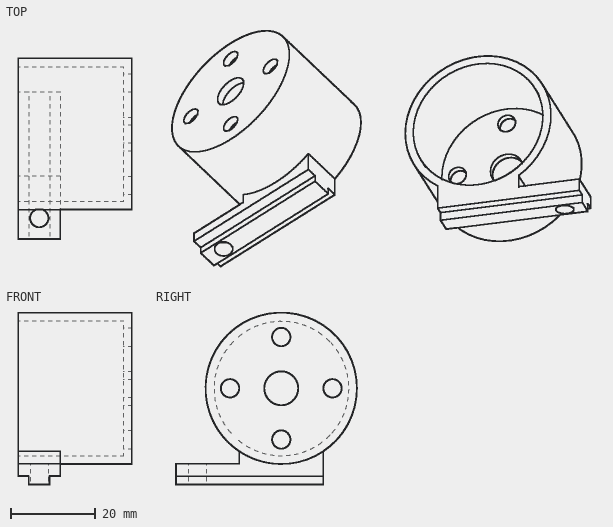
import cadquery as cq

cup_length = 27.0
cup_diameter = 36.0
bore_diameter = 32.0
floor_thickness = (cup_diameter - bore_diameter) / 2

shaft_hole_diameter = 8.0
screw_hole_diameter = 4.3
screw_circle_diameter = 24.35
screw_count = 4

overall_width = 43.0
overall_height = 40.9
foot_depth = 10.0
pedestal_width = 20.0
flange_thickness = 3.0
tongue_depth = 5.0
tongue_height = 2.0

cup_radius = cup_diameter / 2
foot_back = pedestal_width / 2
foot_front = cup_radius - overall_width
foot_length = foot_back - foot_front
tongue_bottom = cup_radius - overall_height
flange_bottom = tongue_bottom + tongue_height
flange_hole_y = foot_front + foot_depth / 2


def box_from(x, y, z, length, width, height):
    """Box whose lowest corner is at (x, y, z)."""
    return cq.Workplane("XY").box(length, width, height, centered=False).translate((x, y, z))


def make_foot():
    pedestal = box_from(0, -pedestal_width / 2, flange_bottom, foot_depth, pedestal_width, -flange_bottom)
    flange = box_from(0, foot_front, flange_bottom, foot_depth, foot_length, flange_thickness)
    tongue_x = (foot_depth - tongue_depth) / 2
    tongue = box_from(tongue_x, foot_front, tongue_bottom, tongue_depth, foot_length, tongue_height)
    return pedestal.union(flange).union(tongue)


def make_flange_hole():
    return (
        cq.Workplane("XY", origin=(foot_depth / 2, flange_hole_y, tongue_bottom))
        .circle(screw_hole_diameter / 2)
        .extrude(tongue_height + flange_thickness)
    )


def make_floor_holes():
    shaft_hole = cq.Workplane("YZ").circle(shaft_hole_diameter / 2).extrude(cup_length)
    screw_holes = (
        cq.Workplane("YZ")
        .polarArray(screw_circle_diameter / 2, 0, 360, screw_count)
        .circle(screw_hole_diameter / 2)
        .extrude(cup_length)
    )
    return shaft_hole.union(screw_holes)


cylinder = cq.Workplane("YZ").circle(cup_radius).extrude(cup_length)
bore = cq.Workplane("YZ").circle(bore_diameter / 2).extrude(cup_length - floor_thickness)

result = (
    cylinder.union(make_foot())
    .cut(bore)
    .cut(make_floor_holes())
    .cut(make_flange_hole())
)